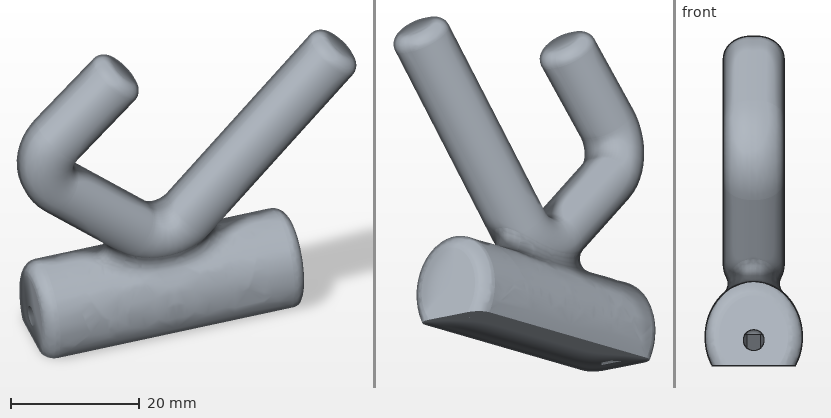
import cadquery as cq
import math

BASE_LENGTH = 42.9
BASE_HEIGHT = 13.15
BASE_HALF_WIDTH = 7.6
ELLIPSE_CENTRE_Z = 4.5
BASE_END_FILLET = 2.2

ROD_WIDTH = 9.5
ROD_THICKNESS = 8.5
BEND_RADIUS = 6.5
ROD_END_FILLET = 2.0
ROD_CORNER_Z = 13.15
LONG_ARM_LENGTH = 43.1
LONG_ARM_ANGLE = 47.3
SHORT_ARM_LENGTH = 30.0
SHORT_ARM_ANGLE = LONG_ARM_ANGLE + 90.0
TIP_ARM_LENGTH = 22.1
TIP_ARM_ANGLE = 45.0
NECK_FILLET = 2.0

WALL_THICKNESS = 3.0
INSERT_LENGTH = BASE_LENGTH - 2 * WALL_THICKNESS
INSERT_WIDTH = 7.0
INSERT_HEIGHT = 4.9

HOLE_DIAMETER = 3.25
HOLE_CENTRE_Z = 4.0
NOTCH_FLOOR_WIDTH = 2.05
NOTCH_MOUTH_WIDTH = 4.0
NOTCH_FLANK_ANGLE = 38.0


def point_along(start, angle, distance):
    """(Y, Z) point at a distance from start in the direction of an angle."""
    turn = math.radians(angle)
    return (start[0] + distance * math.cos(turn), start[1] + distance * math.sin(turn))


def bend_setback(first_angle, second_angle):
    """Distance from a corner to where its bend starts, for two arms leaving it at these angles."""
    return BEND_RADIUS / math.tan(math.radians(abs(first_angle - second_angle) / 2))


def make_base():
    """Elliptical bar with a flat underside and rounded curved edges at both ends."""
    bar = (
        cq.Workplane("XZ", origin=(0, BASE_LENGTH / 2, ELLIPSE_CENTRE_Z))
        .ellipse(BASE_HALF_WIDTH, BASE_HEIGHT - ELLIPSE_CENTRE_Z)
        .extrude(BASE_LENGTH)
    )
    above_underside = cq.Workplane("XY").box(
        2 * BASE_HALF_WIDTH, BASE_LENGTH, BASE_HEIGHT, centered=(True, True, False)
    )
    base = bar.intersect(above_underside)
    return base.faces("<Y or >Y").edges("not %LINE").fillet(BASE_END_FILLET)


def make_rod():
    """Slot-shaped section swept along the three arms and the two bends between them."""
    corner = (0, ROD_CORNER_Z)
    turn = point_along(corner, SHORT_ARM_ANGLE, SHORT_ARM_LENGTH)
    long_arm_end = point_along(corner, LONG_ARM_ANGLE, LONG_ARM_LENGTH)
    tip_end = point_along(turn, TIP_ARM_ANGLE, TIP_ARM_LENGTH)

    back_angle = SHORT_ARM_ANGLE - 180.0
    corner_setback = bend_setback(LONG_ARM_ANGLE, SHORT_ARM_ANGLE)
    turn_setback = bend_setback(TIP_ARM_ANGLE, back_angle)
    path = (
        cq.Workplane("YZ")
        .moveTo(*long_arm_end)
        .lineTo(*point_along(corner, LONG_ARM_ANGLE, corner_setback))
        .tangentArcPoint(point_along(corner, SHORT_ARM_ANGLE, corner_setback), relative=False)
        .lineTo(*point_along(turn, back_angle, turn_setback))
        .tangentArcPoint(point_along(turn, TIP_ARM_ANGLE, turn_setback), relative=False)
        .lineTo(*tip_end)
    )
    section_plane = cq.Plane(
        origin=(0, *long_arm_end),
        xDir=(1, 0, 0),
        normal=(0, *point_along((0, 0), LONG_ARM_ANGLE, -1)),
    )
    rod = cq.Workplane(section_plane).slot2D(ROD_WIDTH, ROD_THICKNESS).sweep(path)

    for end in (long_arm_end, tip_end):
        end_face = rod.faces(cq.NearestToPointSelector((0, *end)))
        rod = end_face.edges().fillet(ROD_END_FILLET)
    return rod


def make_insert_block():
    """Plain block of the insert, which is also the shape of its pocket."""
    return cq.Workplane("XY").box(
        INSERT_WIDTH, INSERT_LENGTH, INSERT_HEIGHT, centered=(True, True, False)
    )


def make_hook():
    """Base and rod blended into one body, with the pocket and the hole cut out."""
    hook = make_base().union(make_rod())

    near_seam = cq.selectors.BoxSelector(
        (-ROD_WIDTH, -ROD_WIDTH, BASE_HEIGHT - NECK_FILLET),
        (ROD_WIDTH, ROD_WIDTH, BASE_HEIGHT + NECK_FILLET),
    )
    seam = hook.edges(near_seam).edges("%BSPLINE")
    hook = seam.fillet(NECK_FILLET)

    hole = (
        cq.Workplane("XZ", origin=(0, -INSERT_LENGTH / 2, HOLE_CENTRE_Z))
        .circle(HOLE_DIAMETER / 2)
        .extrude(WALL_THICKNESS)
    )
    return hook.cut(make_insert_block()).cut(hole)


def make_insert():
    """Block with a flat-floored notch down its -Y end, facing the hole."""
    mouth_y = -INSERT_LENGTH / 2
    notch_depth = (NOTCH_MOUTH_WIDTH - NOTCH_FLOOR_WIDTH) / 2 / math.tan(math.radians(NOTCH_FLANK_ANGLE))
    floor_y = mouth_y + notch_depth
    notch = (
        cq.Workplane("XY")
        .moveTo(-NOTCH_MOUTH_WIDTH / 2, mouth_y)
        .lineTo(NOTCH_MOUTH_WIDTH / 2, mouth_y)
        .lineTo(NOTCH_FLOOR_WIDTH / 2, floor_y)
        .lineTo(-NOTCH_FLOOR_WIDTH / 2, floor_y)
        .close()
        .extrude(INSERT_HEIGHT)
    )
    return make_insert_block().cut(notch)


hook = make_hook()
insert = make_insert()
result = cq.Compound.makeCompound([hook.solids().val(), insert.solids().val()])